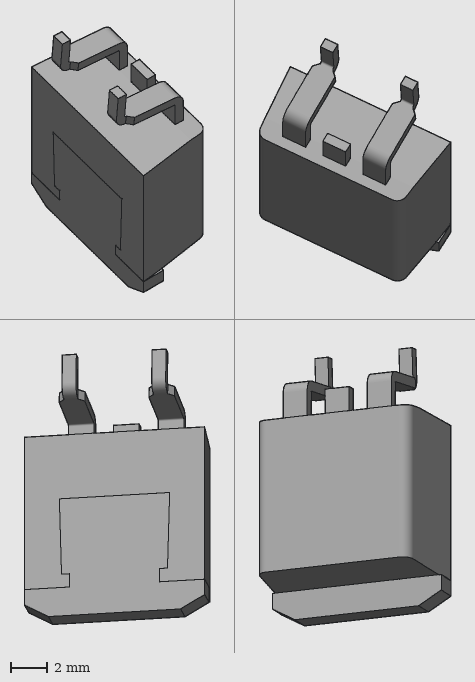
import cadquery as cq
import math


tab_width = 10.17
tab_thickness = 1.4
tab_height = 1.66
tab_corner_x = 1.35
tab_corner_z = 0.76
neck_width = 5.09
neck_top_z = 2.44
pad_bottom_width = 5.97
pad_top_width = 6.22
pad_top_z = 6.86

housing_front_width = 10.15
housing_back_width = 9.11
housing_depth = 4.85
housing_corner_radius = 0.61
housing_bottom_z = tab_height
housing_back_bottom_z = 1.89
housing_front_top_z = 10.59
housing_ridge_z = 10.73
housing_back_top_z = 10.65

lead_thickness = 0.58
lead_width = 1.45
lead_spacing = 2.53
lead_back_y = 4.2
lead_mid_y = lead_back_y - lead_thickness / 2
ridge_y = lead_back_y - lead_thickness
middle_lead_top_z = 12.24

shoulder_z = 12.65
foot_y = 0.03
arm_slope = math.radians(7)
foot_lean = math.radians(4)
lead_top_z = 15.24
inner_bend_radius = 0.1
bend_radius = inner_bend_radius + lead_thickness / 2
foot_width = 0.8
taper_start = 0.73


def make_tab():
    half_outline = [
        (tab_width / 2 - tab_corner_x, 0),
        (tab_width / 2, tab_corner_z),
        (tab_width / 2, tab_height),
        (neck_width / 2, tab_height),
        (neck_width / 2, neck_top_z),
        (pad_bottom_width / 2, neck_top_z),
        (pad_top_width / 2, pad_top_z),
    ]
    mirrored_half = [(-x, z) for x, z in reversed(half_outline)]
    return cq.Workplane("XZ").polyline(half_outline + mirrored_half).close().extrude(-tab_thickness)


def make_housing_block():
    side_profile = [
        (0, housing_bottom_z),
        (tab_thickness, housing_bottom_z),
        (housing_depth, housing_back_bottom_z),
        (housing_depth, housing_back_top_z),
        (ridge_y, housing_ridge_z),
        (0, housing_front_top_z),
    ]
    plan_outline = [
        (-housing_front_width / 2, 0),
        (housing_front_width / 2, 0),
        (housing_back_width / 2, housing_depth),
        (-housing_back_width / 2, housing_depth),
    ]
    side_prism = cq.Workplane("YZ").polyline(side_profile).close().extrude(housing_front_width / 2, both=True)
    plan_prism = cq.Workplane("XY").polyline(plan_outline).close().extrude(lead_top_z)
    plan_prism = plan_prism.edges("|Z and >Y").fillet(housing_corner_radius)
    return side_prism.intersect(plan_prism)


def bend_points(corner, heading_in, heading_out):
    """Start, middle and end of the centreline arc that rounds a corner.

    A heading is the angle from +Z toward -Y.
    """
    turn = abs(heading_out - heading_in)
    setback = bend_radius * math.tan(turn / 2)
    crown = bend_radius * (1 / math.cos(turn / 2) - 1)
    y, z = corner
    start = (y + setback * math.sin(heading_in), z - setback * math.cos(heading_in))
    end = (y - setback * math.sin(heading_out), z + setback * math.cos(heading_out))
    inward_y = (start[0] + end[0]) / 2 - y
    inward_z = (start[1] + end[1]) / 2 - z
    inward_length = math.hypot(inward_y, inward_z)
    middle = (y + crown * inward_y / inward_length, z + crown * inward_z / inward_length)
    return start, middle, end


def make_foot_trim(foot_corner):
    """Region, square to the arm, that narrows a bent lead to its foot with 45 degree shoulders."""
    taper_end = taper_start - (lead_width - foot_width) / 2
    front = -lead_thickness
    back = lead_top_z
    arm_plane = cq.Plane(
        origin=(0, *foot_corner),
        xDir=(1, 0, 0),
        normal=(0, math.sin(arm_slope), math.cos(arm_slope)),
    )
    outline = [
        (-lead_width / 2, back),
        (-lead_width / 2, taper_start),
        (-foot_width / 2, taper_end),
        (-foot_width / 2, front),
        (foot_width / 2, front),
        (foot_width / 2, taper_end),
        (lead_width / 2, taper_start),
        (lead_width / 2, back),
    ]
    return cq.Workplane(arm_plane).polyline(outline).close().extrude(lead_top_z, both=True)


def make_bent_lead(center_x, housing_block):
    upright_heading = 0
    arm_heading = math.pi / 2 - arm_slope
    foot_heading = -foot_lean
    shoulder = (lead_mid_y, shoulder_z)
    foot_corner = (foot_y, shoulder_z + (lead_mid_y - foot_y) * math.tan(arm_slope))
    tip_z = lead_top_z - lead_thickness / 2 * math.sin(foot_lean)
    tip = (foot_y + (tip_z - foot_corner[1]) * math.tan(foot_lean), tip_z)

    shoulder_start, shoulder_middle, shoulder_end = bend_points(shoulder, upright_heading, arm_heading)
    foot_start, foot_middle, foot_end = bend_points(foot_corner, arm_heading, foot_heading)
    centreline = (
        cq.Workplane("YZ")
        .moveTo(lead_mid_y, housing_front_top_z)
        .lineTo(*shoulder_start)
        .threePointArc(shoulder_middle, shoulder_end)
        .lineTo(*foot_start)
        .threePointArc(foot_middle, foot_end)
        .lineTo(*tip)
    )
    section = cq.Workplane("XY", origin=(0, lead_mid_y, housing_front_top_z)).rect(lead_width, lead_thickness)
    lead = section.sweep(centreline).intersect(make_foot_trim(foot_corner))
    return lead.translate((center_x, 0, 0)).cut(housing_block)


def make_middle_lead(housing_block):
    section = cq.Workplane("XY", origin=(0, lead_mid_y, housing_front_top_z)).rect(lead_width, lead_thickness)
    return section.extrude(middle_lead_top_z - housing_front_top_z).cut(housing_block)


tab = make_tab()
housing_block = make_housing_block()
housing = housing_block.cut(tab)
middle_lead = make_middle_lead(housing_block)
bent_leads = [make_bent_lead(side * lead_spacing, housing_block) for side in (-1, 1)]

result = cq.Compound.makeCompound(
    [housing.val(), tab.val(), middle_lead.val(), *[lead.val() for lead in bent_leads]]
)